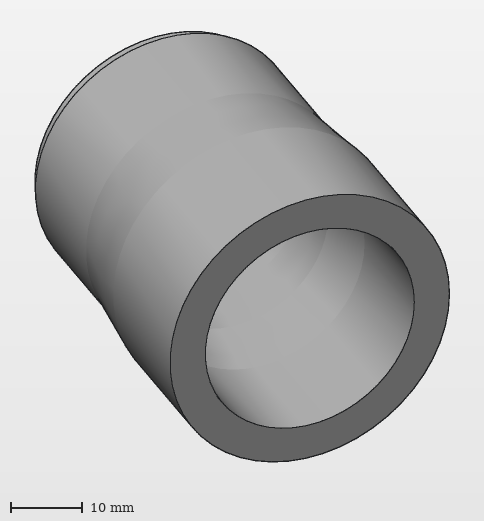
import cadquery as cq

total_length = 50.0
land_end = 1.25
chamfer_end = 2.0
taper_start = 19.0
taper_end = 31.1
bore_length = 16.5

land_diameter = 38.35
small_diameter = 40.0
large_diameter = 42.8

wall_thickness = 5.4
small_bore_diameter = small_diameter - 2 * wall_thickness
large_bore_diameter = large_diameter - 2 * wall_thickness
throat_diameter = 28.6


def revolve_about_x(stations):
    """Solid of revolution through (x, diameter) stations."""
    outline = [(x, diameter / 2) for x, diameter in stations]
    first_x = stations[0][0]
    last_x = stations[-1][0]
    return (
        cq.Workplane("XY")
        .polyline([(first_x, 0), *outline, (last_x, 0)])
        .close()
        .revolve(360, (0, 0, 0), (1, 0, 0))
    )


body = revolve_about_x([
    (0, land_diameter),
    (land_end, land_diameter),
    (chamfer_end, small_diameter),
    (taper_start, small_diameter),
    (taper_end, large_diameter),
    (total_length, large_diameter),
])

bore = revolve_about_x([
    (0, small_bore_diameter),
    (bore_length, small_bore_diameter),
    (total_length / 2, throat_diameter),
    (total_length - bore_length, large_bore_diameter),
    (total_length, large_bore_diameter),
])

result = body.cut(bore)